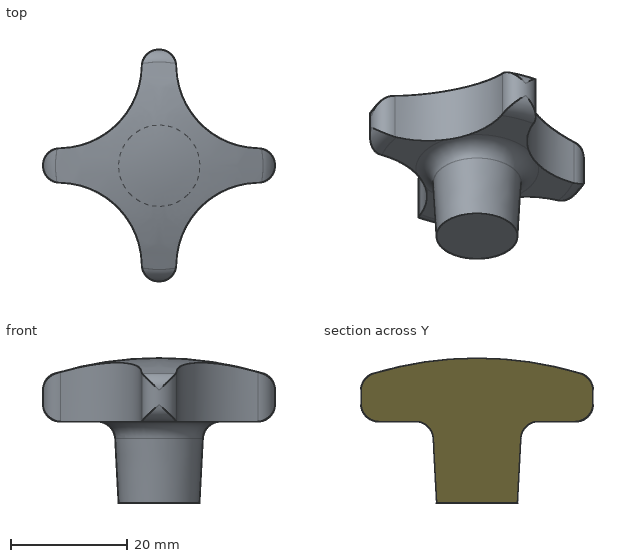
import cadquery as cq
import math

total_height = 25.0
head_radius = 20.0
head_bottom = 14.0

arm_count = 4
tip_radius = 3.0
waist_radius = 10.14
rim_round = 3.0

hub_bottom_radius = 7.0
hub_taper = math.radians(3.0)
neck_round = 3.0

dome_radius = 62.0

tip_distance = head_radius - tip_radius


def on_circle(center, radius, angle):
    """Point at the given angle on a circle."""
    return (center[0] + radius * math.cos(angle), center[1] + radius * math.sin(angle))


def head_blank():
    """Round head with a domed top and rounded rims, revolved about Z."""
    dome_center = (0.0, total_height - dome_radius)
    rim_center_radius = head_radius - rim_round
    center_reach = dome_radius - rim_round
    upper_rise = math.sqrt(center_reach**2 - rim_center_radius**2)
    upper_center = (rim_center_radius, dome_center[1] + upper_rise)
    lower_center = (rim_center_radius, head_bottom + rim_round)

    touch_angle = math.atan2(upper_rise, rim_center_radius)
    dome_edge = on_circle(dome_center, dome_radius, touch_angle)
    dome_middle = on_circle(dome_center, dome_radius, (touch_angle + math.pi / 2) / 2)
    upper_middle = on_circle(upper_center, rim_round, touch_angle / 2)
    lower_middle = on_circle(lower_center, rim_round, -math.pi / 4)

    return (
        cq.Workplane("XZ")
        .moveTo(0, head_bottom)
        .lineTo(rim_center_radius, head_bottom)
        .threePointArc(lower_middle, (head_radius, lower_center[1]))
        .lineTo(head_radius, upper_center[1])
        .threePointArc(upper_middle, dome_edge)
        .threePointArc(dome_middle, (0, total_height))
        .close()
        .revolve(360, (0, 0, 0), (0, 1, 0))
    )


def star_prism():
    """Full-height prism with the outline of the four arms and the hollows between them."""
    step = 2 * math.pi / arm_count
    outline = cq.Workplane("XY").moveTo(tip_distance, -tip_radius)
    for arm in range(arm_count):
        angle = arm * step
        tip = on_circle((0, 0), head_radius, angle)
        tip_center = on_circle((0, 0), tip_distance, angle)
        tip_end = on_circle(tip_center, tip_radius, angle + math.pi / 2)
        hollow_middle = on_circle((0, 0), waist_radius, angle + step / 2)
        next_center = on_circle((0, 0), tip_distance, angle + step)
        next_start = on_circle(next_center, tip_radius, angle + step - math.pi / 2)
        outline = outline.threePointArc(tip, tip_end).threePointArc(hollow_middle, next_start)
    return outline.close().extrude(total_height)


def hub():
    """Tapered hub, widening upwards into a hollow fillet below the head."""
    neck_center_height = head_bottom - neck_round
    neck_start_height = neck_center_height + neck_round * math.sin(hub_taper)
    neck_start_radius = hub_bottom_radius + neck_start_height * math.tan(hub_taper)
    neck_center = (neck_start_radius + neck_round * math.cos(hub_taper), neck_center_height)
    neck_middle = on_circle(neck_center, neck_round, (math.pi - hub_taper + math.pi / 2) / 2)

    return (
        cq.Workplane("XZ")
        .lineTo(hub_bottom_radius, 0)
        .lineTo(neck_start_radius, neck_start_height)
        .threePointArc(neck_middle, (neck_center[0], head_bottom))
        .lineTo(0, head_bottom)
        .close()
        .revolve(360, (0, 0, 0), (0, 1, 0))
    )


result = head_blank().union(hub()).intersect(star_prism())